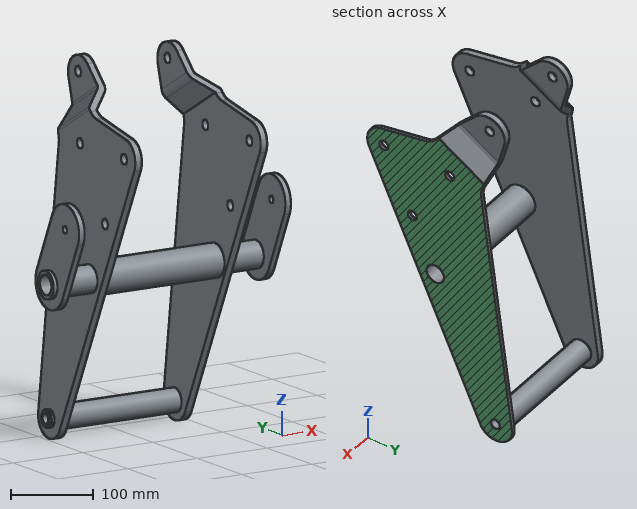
import cadquery as cq
import math

plate_thickness = 9.5
plate_inner_x = 85.0
plate_outer_x = plate_inner_x + plate_thickness
corner_radius = 25.5
lower_pin = (0.0, 0.0)
ear_corner = (-26.8, 427.0)
rear_corner = (-166.8, 354.5)
front_waist = (-21.5, 350.5)
top_waist = (-97.5, 393.2)
waist_fillet = 25.5

bolt_diameter = 13.0
ear_hole = (-24.0, 432.0)
middle_hole = (-68.5, 354.5)
link_hole = (-124.0, 265.5)

ear_shift = 26.0
bend_angle = math.radians(45)
bend_tilt = 30.0
lower_bend = 304.5
bend_radius = 5.5
profile_end = 573.5

pivot = (-90.0, 191.0)
pivot_diameter = 35.5
pivot_bore = 25.5
pivot_length = 315.0
sleeve_diameter = 43.0
link_thickness = 8.0
link_outer_x = 152.0
link_radius = 31.5
link_hole_diameter = 9.0

lower_tube_diameter = 30.5
lower_pin_diameter = 23.0
lower_pin_length = 200.5
lower_pin_chamfer = 2.0


def cylinder(center, diameter, length):
    """Cylinder along X, centred on the mid-plane."""
    end_plane = cq.Workplane("YZ", origin=(-length / 2, 0, 0))
    return end_plane.center(*center).circle(diameter / 2).extrude(length)


def on_circle(center, radius, angle):
    return (center[0] + radius * math.cos(angle), center[1] + radius * math.sin(angle))


def tangent_point(point, center, radius, side):
    """Touching point of a line from a point to a circle; side is +1 or -1."""
    dy = point[0] - center[0]
    dz = point[1] - center[1]
    angle = math.atan2(dz, dy) + side * math.acos(radius / math.hypot(dy, dz))
    return on_circle(center, radius, angle)


def rear_tangent(start, end, radius):
    """Points where the rear common tangent touches two equal circles."""
    angle = math.atan2(end[1] - start[1], end[0] - start[0]) + math.pi / 2
    return on_circle(start, radius, angle), on_circle(end, radius, angle)


def far_point(center, first, second, radius):
    """Middle of the arc between two points on a circle."""
    angle = math.atan2(first[1] + second[1] - 2 * center[1], first[0] + second[0] - 2 * center[0])
    return on_circle(center, radius, angle)


def plate_outline():
    r = corner_radius
    lower_front = tangent_point(front_waist, lower_pin, r, -1)
    ear_front = tangent_point(front_waist, ear_corner, r, 1)
    ear_rear = tangent_point(top_waist, ear_corner, r, -1)
    rear_top = tangent_point(top_waist, rear_corner, r, 1)
    lower_rear, rear_bottom = rear_tangent(lower_pin, rear_corner, r)
    return (
        cq.Workplane("YZ")
        .moveTo(*lower_front)
        .lineTo(*front_waist)
        .lineTo(*ear_front)
        .threePointArc(far_point(ear_corner, ear_front, ear_rear, r), ear_rear)
        .lineTo(*top_waist)
        .lineTo(*rear_top)
        .threePointArc(far_point(rear_corner, rear_top, rear_bottom, r), rear_bottom)
        .lineTo(*lower_rear)
        .threePointArc(far_point(lower_pin, lower_rear, lower_front, r), lower_front)
        .close()
    )


def bent_sheet():
    """Joggled sheet, wide along Y, tilted to the direction of the bend lines."""
    upper_bend = lower_bend + ear_shift / math.tan(bend_angle)
    inner_setback = plate_thickness * math.tan(bend_angle / 2)
    ear_outer_x = plate_outer_x - ear_shift
    ear_inner_x = ear_outer_x - plate_thickness
    upper_inner = upper_bend - inner_setback
    sheet = (
        cq.Workplane("XZ")
        .polyline([
            (plate_outer_x, -profile_end),
            (plate_outer_x, lower_bend),
            (ear_outer_x, upper_bend),
            (ear_outer_x, profile_end),
            (ear_inner_x, profile_end),
            (ear_inner_x, upper_inner),
            (plate_inner_x, lower_bend - inner_setback),
            (plate_inner_x, -profile_end),
        ])
        .close()
        .extrude(profile_end, both=True)
    )
    outer_bends = ((plate_outer_x, lower_bend), (ear_outer_x, upper_bend))
    for x, z in outer_bends:
        sheet = sheet.edges(cq.NearestToPointSelector((x, 0, z))).fillet(bend_radius)
    inside_bend = cq.NearestToPointSelector((ear_inner_x, 0, upper_inner))
    sheet = sheet.edges(inside_bend).fillet(bend_radius + plate_thickness)
    return sheet.rotate((0, 0, 0), (1, 0, 0), -bend_tilt)


def side_plate():
    blank = plate_outline().extrude(plate_outer_x)
    for waist in (front_waist, top_waist):
        waist_edge = cq.NearestToPointSelector((plate_outer_x / 2, *waist))
        blank = blank.edges(waist_edge).fillet(waist_fillet)
    plate = blank.intersect(bent_sheet())
    for place in (ear_hole, middle_hole, rear_corner, link_hole):
        plate = plate.cut(cylinder(place, bolt_diameter, pivot_length))
    return plate


def link():
    dy = link_hole[0] - pivot[0]
    dz = link_hole[1] - pivot[1]
    spacing = math.hypot(dy, dz)
    middle = ((pivot[0] + link_hole[0]) / 2, (pivot[1] + link_hole[1]) / 2)
    body = (
        cq.Workplane("YZ", origin=(link_outer_x - link_thickness, 0, 0))
        .center(*middle)
        .slot2D(spacing + 2 * link_radius, 2 * link_radius, math.degrees(math.atan2(dz, dy)))
        .extrude(link_thickness)
    )
    return body.cut(cylinder(link_hole, link_hole_diameter, pivot_length))


half = side_plate().union(link())
frame = half.union(half.mirror("YZ"))

pivot_tube = cylinder(pivot, pivot_diameter, pivot_length)
sleeve = cylinder(pivot, sleeve_diameter, 2 * plate_inner_x)
lower_tube = cylinder(lower_pin, lower_tube_diameter, 2 * plate_inner_x)
lower_shaft = cylinder(lower_pin, lower_pin_diameter, lower_pin_length)
lower_shaft = lower_shaft.faces("<X or >X").chamfer(lower_pin_chamfer)

result = frame.union(pivot_tube).union(sleeve).union(lower_tube).union(lower_shaft)
result = result.cut(cylinder(pivot, pivot_bore, pivot_length))
result = result.cut(cylinder(lower_pin, bolt_diameter, lower_pin_length))